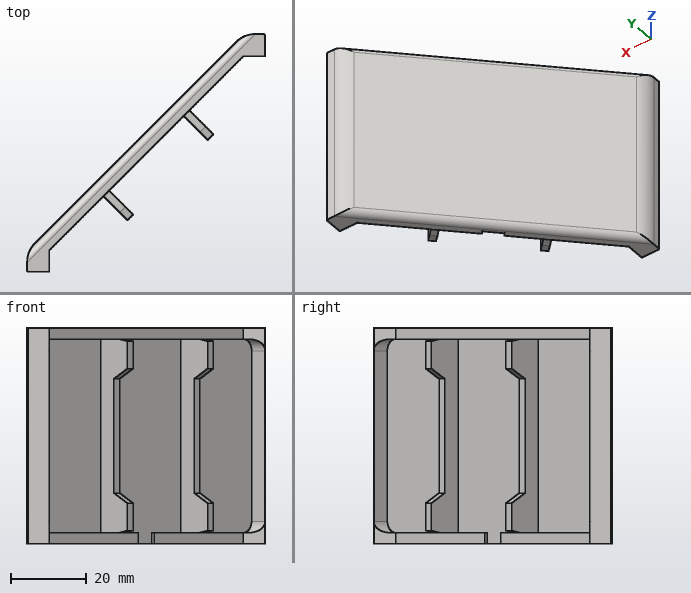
import cadquery as cq
import math

SIDE = 62.85
HEIGHT = 57.0

FLANGE_WIDTH = 5.9
FLANGE_DEPTH = 5.7
PLATE_THICKNESS = 4.0
END_ROUND_RADIUS = 7.05
SIDE_ROUND_RADIUS = 2.0
CORNER_CHAMFER = 0.3

POCKET_DEPTH = 1.0
POCKET_CORNER_RADIUS = 3.0
SIDE_WALL = 2.95
POCKET_END_INSET = 5.85
NOTCH_WIDTH = 5.9

RIB_SPACING = 30.0
RIB_THICKNESS = 2.15
RIB_HEIGHT = 10.0
RIB_WAIST_HEIGHT = 4.95
RIB_TIP_HALF = 17.8
RIB_WAIST_HALF = 15.1
RIB_TAPER_LENGTH = 3.0
RIB_TAPER_INSET = 0.55

ROOT_2 = math.sqrt(2)
INNER_LEVEL = (FLANGE_WIDTH - FLANGE_DEPTH) / ROOT_2
OUTER_LEVEL = INNER_LEVEL - PLATE_THICKNESS
FLOOR_LEVEL = INNER_LEVEL - POCKET_DEPTH
POCKET_LENGTH = 2 * (SIDE - POCKET_END_INSET) / ROOT_2
POCKET_HALF_HEIGHT = HEIGHT / 2 - SIDE_WALL
CLEARANCE = 12.6


def plate_plane(level):
    """Plane parallel to the plate: local x along it, local y up, normal out of its inner face."""
    shift = level / ROOT_2
    origin = (SIDE / 2 + shift, SIDE / 2 - shift, 0)
    return cq.Workplane(cq.Plane(origin=origin, xDir=(1, 1, 0), normal=(1, -1, 0)))


def make_plate():
    corner = -OUTER_LEVEL * ROOT_2
    tangent = END_ROUND_RADIUS * math.tan(math.pi / 8)
    half_angle = math.pi / 8
    arc_mid = (
        END_ROUND_RADIUS * (1 - math.cos(half_angle)),
        corner - tangent + END_ROUND_RADIUS * math.sin(half_angle),
    )
    arc_end = (tangent / ROOT_2, corner + tangent / ROOT_2)

    def opposite(point):
        """Mirror a point to the other end of the plate."""
        return (SIDE - point[1], SIDE - point[0])

    lower_start = (0, corner - tangent)
    inner_corner = (FLANGE_WIDTH, FLANGE_DEPTH)
    flange_tip = (FLANGE_WIDTH, 0)
    chamfer_foot = (CORNER_CHAMFER, 0)
    chamfer_top = (0, CORNER_CHAMFER)
    profile = (
        cq.Workplane("XY", origin=(0, 0, -HEIGHT / 2))
        .moveTo(*lower_start)
        .threePointArc(arc_mid, arc_end)
        .lineTo(*opposite(arc_end))
        .threePointArc(opposite(arc_mid), opposite(lower_start))
        .lineTo(*opposite(chamfer_top))
        .lineTo(*opposite(chamfer_foot))
        .lineTo(*opposite(flange_tip))
        .lineTo(*opposite(inner_corner))
        .lineTo(*inner_corner)
        .lineTo(*flange_tip)
        .lineTo(*chamfer_foot)
        .lineTo(*chamfer_top)
        .close()
    )
    rounded_bar = (
        plate_plane(OUTER_LEVEL)
        .rect(2 * SIDE, HEIGHT)
        .extrude(PLATE_THICKNESS + CLEARANCE)
        .faces("<(1,-1,0)")
        .edges("|(1,1,0)")
        .fillet(SIDE_ROUND_RADIUS)
    )
    return profile.extrude(HEIGHT).intersect(rounded_bar)


def make_pocket():
    pocket = (
        plate_plane(FLOOR_LEVEL)
        .rect(POCKET_LENGTH, 2 * POCKET_HALF_HEIGHT)
        .extrude(CLEARANCE)
        .edges("|(1,-1,0)")
        .fillet(POCKET_CORNER_RADIUS)
    )
    notch = (
        plate_plane(FLOOR_LEVEL)
        .center(0, -HEIGHT / 4)
        .rect(NOTCH_WIDTH, HEIGHT / 2)
        .extrude(CLEARANCE)
    )
    return pocket.union(notch)


def make_rib(along):
    """Rib across the pocket, centred at the given distance along the plate."""
    half_profile = [
        (POCKET_HALF_HEIGHT, 0),
        (POCKET_HALF_HEIGHT, RIB_HEIGHT - RIB_TAPER_LENGTH),
        (POCKET_HALF_HEIGHT - RIB_TAPER_INSET, RIB_HEIGHT),
        (RIB_TIP_HALF, RIB_HEIGHT),
        (RIB_WAIST_HALF, RIB_WAIST_HEIGHT),
    ]
    mirrored = [(-z, rise) for z, rise in reversed(half_profile)]
    base = plate_plane(FLOOR_LEVEL).center(along, 0).plane
    section = cq.Plane(origin=base.origin, xDir=(0, 0, 1), normal=(1, 1, 0))
    return (
        cq.Workplane(section)
        .polyline(half_profile + mirrored)
        .close()
        .extrude(RIB_THICKNESS / 2, both=True)
    )


result = make_plate().cut(make_pocket())
for direction in (-1, 1):
    result = result.union(make_rib(direction * RIB_SPACING / 2))